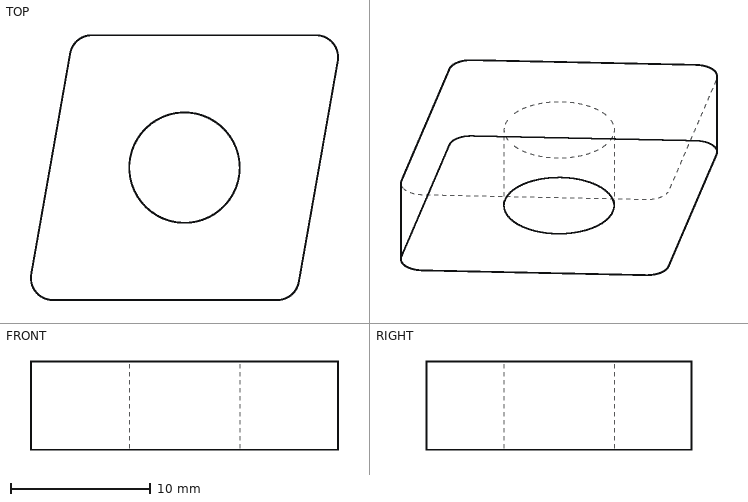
import cadquery as cq
import math

inscribed_diameter = 19.05
corner_angle = 80.0
thickness = 6.35
nose_radius = 1.6
hole_diameter = 7.92

side_length = inscribed_diameter / math.sin(math.radians(corner_angle))
half_side = side_length / 2
half_height = inscribed_diameter / 2
half_lean = half_height / math.tan(math.radians(corner_angle))


def rounded_rhombus():
    """Rhombic plate centred on the Z axis, acute corners at -X-Y and +X+Y."""
    corners = [
        (-half_side - half_lean, -half_height),
        (half_side - half_lean, -half_height),
        (half_side + half_lean, half_height),
        (-half_side + half_lean, half_height),
    ]
    plate = cq.Workplane("XY").polyline(corners).close().extrude(thickness)
    return plate.edges("|Z").fillet(nose_radius)


def clamping_hole():
    """Cylinder that cuts the central through hole."""
    return cq.Workplane("XY").circle(hole_diameter / 2).extrude(thickness)


result = rounded_rhombus().cut(clamping_hole())